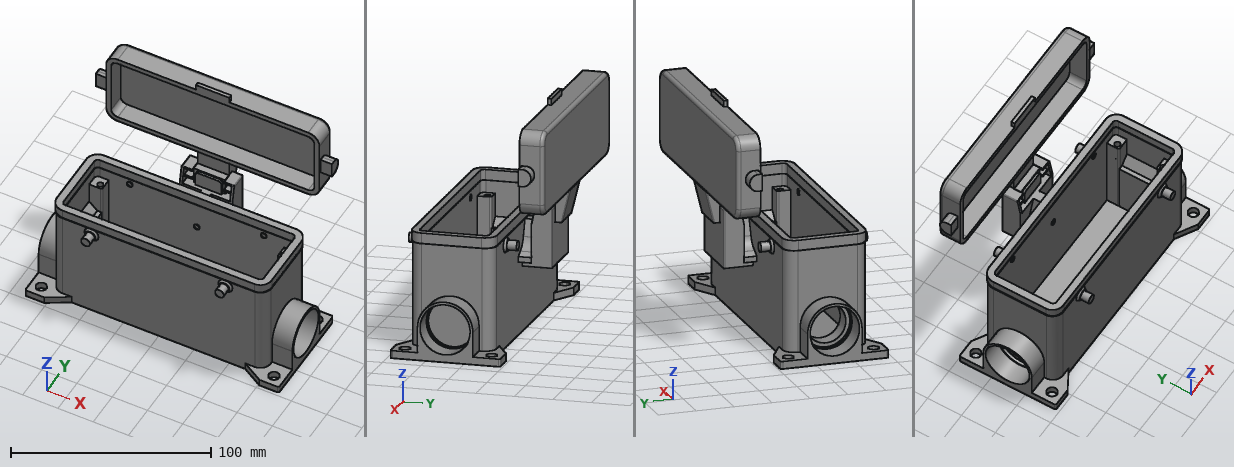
import cadquery as cq
import math


rim_length = 122.0
rim_width = 44.0
rim_radius = 6.5
rim_overhang_x = 0.5
rim_overhang_y = 0.35
housing_height = 63.0
rim_height = 5.5
body_length = rim_length - 2 * rim_overhang_x
body_width = rim_width - 2 * rim_overhang_y
body_radius = rim_radius - rim_overhang_x
rim_base = housing_height - rim_height

cavity_length = 113.5
cavity_width = 36.0
cavity_radius = 2.0
cavity_relief = 0.25
floor_thickness = 3.5

pillar_size = 7.0
pillar_top = 51.0
pillar_corner_radius = 1.0
screw_pitch_x = 104.0
screw_pitch_y = 27.0
screw_hole_diameter = 3.2
screw_hole_depth = 10.0
drill_point_angle = 118.0

foot_length = 144.0
foot_width = 57.0
foot_thickness = 4.0
foot_straight = 11.0
foot_reach = 22.8
foot_corner_radius = 1.0
foot_hole_diameter = 5.7
foot_hole_inset = 6.0

entry_center_z = 17.0
entry_outer_radius = 14.35
entry_bore_radius = 13.0
entry_bore_depth = 11.5
entry_step_radius = 12.5
entry_step_depth = 13.5
entry_hole_radius = 10.4
inner_block_top = 39.0
inner_block_ramp = 4.4

peg_x = 38.0
peg_z = 53.5
peg_diameter = 5.0
peg_tip_y = 28.0
peg_collar_diameter = 8.0
peg_collar_tip_diameter = 6.0
peg_collar_tip_y = 23.0
dimple_diameter = 3.2
dimple_depth = 0.5
center_dimple_z = 41.5

bracket_half_width = 15.0
bracket_front = 28.4
bracket_back = 39.2
bracket_bottom = 36.0
bracket_top = 67.2
bracket_top_front = 30.2
bracket_slope_base = 58.0
bracket_foot_front = 23.7
bracket_foot_thickness = 2.0
cheek_thickness = 1.5
back_wall_thickness = 2.0
cap_thickness = 1.2
cap_front = 30.4
bracket_edge_radius = 0.5
rib_z = 60.5
rib_thickness = 1.2

lug_half_width = 14.8
lug_edge_z = 40.8
lug_slope_x = 11.3
lug_slope_z = 42.8
lug_neck_x = 5.8
lug_neck_z = 48.9
lug_flare_sag = 1.0
lug_top_half_width = 2.8
lug_top_z = 57.2

lid_length = 121.0
lid_height = 43.5
lid_bottom = 75.8
lid_back = 47.75
lid_depth = 12.5
lid_radius = 6.5
lid_edge_radius = 2.0
lid_wall = 2.9
lid_floor = 2.5
lid_front = lid_back - lid_depth
lid_center_z = lid_bottom + lid_height / 2
tab_width = 19.0
tab_top = 122.5
tab_thickness = 2.0
lid_peg_tip_x = 67.0
lid_peg_radius = 4.4
lid_peg_axis_y = 38.7
lid_peg_flat_y = 36.5

arm_half_width = 9.0
arm_front = 36.0
arm_end_z = 58.5
arm_top_back = 46.8
arm_end_back = 42.5
knuckle_front = 32.0
knuckle_bottom = lug_top_z
knuckle_top = 66.8
knuckle_pad_half_width = 7.5
knuckle_pad_front = 30.6
knuckle_pad_top = 66.0
knuckle_pad_radius = 2.0
arm_edge_radius = 0.5


def block(x_range, y_range, z_range):
    """Axis-aligned box between the given (low, high) pairs."""
    size = [high - low for low, high in (x_range, y_range, z_range)]
    return (
        cq.Workplane("XY")
        .box(*size, centered=False)
        .translate((x_range[0], y_range[0], z_range[0]))
    )


def rounded_block(length, width, radius, z_low, z_high):
    """Upright block centred on the Z axis with rounded vertical edges."""
    return (
        cq.Workplane("XY", origin=(0, 0, z_low))
        .rect(length, width)
        .extrude(z_high - z_low)
        .edges("|Z")
        .fillet(radius)
    )


def cylinder_x(radius, x_start, x_end):
    """Cylinder along X on the cable entry axis."""
    return (
        cq.Workplane("YZ", origin=(x_start, 0, entry_center_z))
        .circle(radius)
        .extrude(x_end - x_start)
    )


def foot(side):
    """Mounting foot at one end, tapering towards the long walls; side is -1 or +1."""
    end = foot_length / 2
    half = foot_width / 2
    wall_y = body_width / 2
    outline = [
        (end - foot_reach, -wall_y),
        (end - foot_straight, -half),
        (end, -half),
        (end, half),
        (end - foot_straight, half),
        (end - foot_reach, wall_y),
    ]
    plate = cq.Workplane("XY").polyline(outline).close().extrude(foot_thickness)
    plate = plate.edges("|Z and >X").fillet(foot_corner_radius)
    hole_y = half - foot_hole_inset
    plate = (
        plate.faces(">Z")
        .workplane(origin=(0, 0, foot_thickness))
        .pushPoints([(end - foot_hole_inset, -hole_y), (end - foot_hole_inset, hole_y)])
        .hole(foot_hole_diameter)
    )
    return plate if side > 0 else plate.mirror("YZ")


def entry_boss(side):
    """Outer cable entry boss: a round top on a straight-sided base, flush with the foot end."""
    end = side * foot_length / 2
    start = side * (body_length / 2 - 1)
    x_range = (min(start, end), max(start, end))
    base = block(x_range, (-entry_outer_radius, entry_outer_radius), (0, entry_center_z))
    return base.union(cylinder_x(entry_outer_radius, start, end))


def inner_entry_block(side):
    """Block between the pillars behind a cable entry, with a ramp at the end wall."""
    wall_x = cavity_length / 2 + cavity_relief
    ramp_x = cavity_length / 2 - inner_block_ramp
    face_x = cavity_length / 2 - pillar_size
    ledge_z = inner_block_top - inner_block_ramp
    profile = [
        (side * wall_x, 0),
        (side * wall_x, inner_block_top),
        (side * ramp_x, ledge_z),
        (side * face_x, ledge_z),
        (side * face_x, 0),
    ]
    width = cavity_width - 2 * pillar_size
    return cq.Workplane("XZ", origin=(0, width / 2, 0)).polyline(profile).close().extrude(width)


def pillar(side_x, side_y):
    """Corner pillar with a blind screw hole, its free corner rounded."""
    wall_x = cavity_length / 2 + cavity_relief
    wall_y = cavity_width / 2 + cavity_relief
    post = block(
        (cavity_length / 2 - pillar_size, wall_x),
        (cavity_width / 2 - pillar_size, wall_y),
        (0, pillar_top),
    )
    post = post.edges("|Z and <X and <Y").fillet(pillar_corner_radius)
    hole = (
        cq.Workplane("XY", origin=(screw_pitch_x / 2, screw_pitch_y / 2, pillar_top))
        .circle(screw_hole_diameter / 2)
        .extrude(-screw_hole_depth)
    )
    tip = cq.Solid.makeCone(
        screw_hole_diameter / 2,
        0,
        screw_hole_diameter / 2 / math.tan(math.radians(drill_point_angle / 2)),
        cq.Vector(screw_pitch_x / 2, screw_pitch_y / 2, pillar_top - screw_hole_depth),
        cq.Vector(0, 0, -1),
    )
    post = post.cut(hole).cut(cq.Workplane(tip))
    if side_x < 0:
        post = post.mirror("YZ")
    if side_y < 0:
        post = post.mirror("XZ")
    return post


def peg(x, side):
    """Locking peg with a conical collar, standing out of the front (-1) or rear (+1) wall."""
    root_y = body_width / 2 - 1
    wall_y = body_width / 2
    profile = [
        (0, root_y),
        (peg_collar_diameter / 2, root_y),
        (peg_collar_diameter / 2, wall_y),
        (peg_collar_tip_diameter / 2, peg_collar_tip_y),
        (peg_diameter / 2, peg_collar_tip_y),
        (peg_diameter / 2, peg_tip_y),
        (0, peg_tip_y),
    ]
    pin = cq.Workplane("XY").polyline(profile).close().revolve(360, (0, 0, 0), (0, 1, 0))
    if side < 0:
        pin = pin.mirror("XZ")
    return pin.translate((x, 0, peg_z))


def dimple(x, z, side):
    """Cutter for a shallow round recess in the inner face of a long wall."""
    wall_y = cavity_width / 2 + cavity_relief
    spot = cq.Workplane("XZ").circle(dimple_diameter / 2).extrude(-(wall_y + dimple_depth))
    if side < 0:
        spot = spot.mirror("XZ")
    return spot.translate((x, 0, z))


def lug():
    """Central post flaring out to a wide base, joining the rear wall to the bracket."""
    base_z = bracket_bottom + bracket_foot_thickness
    start_y = body_width / 2 - 1
    return (
        cq.Workplane("XZ", origin=(0, start_y, 0))
        .moveTo(-lug_half_width, base_z)
        .lineTo(lug_half_width, base_z)
        .lineTo(lug_half_width, lug_edge_z)
        .lineTo(lug_slope_x, lug_slope_z)
        .sagittaArc((lug_neck_x, lug_neck_z), lug_flare_sag)
        .lineTo(lug_top_half_width, lug_top_z)
        .lineTo(-lug_top_half_width, lug_top_z)
        .lineTo(-lug_neck_x, lug_neck_z)
        .sagittaArc((-lug_slope_x, lug_slope_z), lug_flare_sag)
        .lineTo(-lug_half_width, lug_edge_z)
        .close()
        .extrude(-(bracket_front + 1 - start_y))
    )


def bracket():
    """Lid bracket: a block with a knuckle chamber open to the front and slotted for the lid arm."""
    profile = [
        (bracket_back, bracket_bottom),
        (bracket_back, bracket_top),
        (bracket_top_front, bracket_top),
        (bracket_front, bracket_slope_base),
        (bracket_front, bracket_bottom + bracket_foot_thickness),
        (bracket_foot_front, bracket_bottom + bracket_foot_thickness),
        (bracket_foot_front, bracket_bottom),
    ]
    width = 2 * bracket_half_width
    frame = (
        cq.Workplane("YZ", origin=(-bracket_half_width, 0, 0)).polyline(profile).close().extrude(width)
    )
    frame = frame.faces(">Y or >Z or <Z").edges().fillet(bracket_edge_radius)
    chamber_half = bracket_half_width - cheek_thickness
    chamber_x = (-chamber_half, chamber_half)
    chamber_back = bracket_back - back_wall_thickness
    chamber = block(
        chamber_x, (bracket_front, chamber_back), (knuckle_bottom, bracket_top - cap_thickness)
    )
    cap_clearance = block(chamber_x, (bracket_front, cap_front), (knuckle_bottom, bracket_top))
    arm_x = (-arm_half_width, arm_half_width)
    arm_slot = block(arm_x, (bracket_front, chamber_back), (knuckle_bottom, bracket_top))
    rear_slot = block(arm_x, (chamber_back, bracket_back), (arm_end_z, bracket_top))
    frame = frame.cut(chamber).cut(cap_clearance).cut(arm_slot).cut(rear_slot)
    for low_x, high_x in ((-chamber_half, -arm_half_width), (arm_half_width, chamber_half)):
        rib = block((low_x, high_x), (cap_front, chamber_back), (rib_z, rib_z + rib_thickness))
        frame = frame.union(rib)
    return frame


def housing_body():
    shell = rounded_block(body_length, body_width, body_radius, 0, rim_base)
    shell = shell.union(rounded_block(rim_length, rim_width, rim_radius, rim_base, housing_height))
    for side in (-1, 1):
        shell = shell.union(foot(side)).union(entry_boss(side))
    shell = shell.cut(
        rounded_block(cavity_length, cavity_width, cavity_radius, floor_thickness, housing_height)
    )
    shell = shell.cut(
        rounded_block(
            cavity_length + 2 * cavity_relief,
            cavity_width + 2 * cavity_relief,
            cavity_radius + cavity_relief,
            floor_thickness,
            rim_base,
        )
    )
    for side_x in (-1, 1):
        shell = shell.union(inner_entry_block(side_x))
        for side_y in (-1, 1):
            shell = shell.union(pillar(side_x, side_y))

    for side in (-1, 1):
        end = side * foot_length / 2
        shell = shell.cut(cylinder_x(entry_bore_radius, end, end - side * entry_bore_depth))
        shell = shell.cut(cylinder_x(entry_step_radius, end, end - side * entry_step_depth))
    shell = shell.cut(cylinder_x(entry_hole_radius, -foot_length / 2, 0))

    for side in (-1, 1):
        for x in (-peg_x, peg_x):
            shell = shell.union(peg(x, side)).cut(dimple(x, peg_z, side))
    shell = shell.union(lug()).union(bracket())
    return shell.cut(dimple(0, center_dimple_z, 1))


def lid_shell():
    """Shallow tray with its open side facing the front."""
    tray = (
        cq.Workplane("XZ", origin=(0, lid_back, lid_center_z))
        .rect(lid_length, lid_height)
        .extrude(lid_depth)
        .edges("|Y")
        .fillet(lid_radius)
        .faces(">Y")
        .edges()
        .fillet(lid_edge_radius)
    )
    recess = (
        cq.Workplane("XZ", origin=(0, lid_back - lid_floor, lid_center_z))
        .rect(lid_length - 2 * lid_wall, lid_height - 2 * lid_wall)
        .extrude(lid_depth - lid_floor)
        .edges("|Y")
        .fillet(lid_radius - lid_wall)
    )
    return tray.cut(recess)


def lid_peg(side):
    """Side peg of the lid: half-round at the back, square at the front."""
    root_x = lid_length / 2 - lid_wall / 2
    return (
        cq.Workplane("YZ", origin=(side * root_x, 0, lid_center_z))
        .moveTo(lid_peg_flat_y, -lid_peg_radius)
        .lineTo(lid_peg_axis_y, -lid_peg_radius)
        .threePointArc((lid_peg_axis_y + lid_peg_radius, 0), (lid_peg_axis_y, lid_peg_radius))
        .lineTo(lid_peg_flat_y, lid_peg_radius)
        .close()
        .extrude(side * (lid_peg_tip_x - root_x))
    )


def lid_arm():
    """Tapered arm under the lid, ending in a knuckle that sits in the bracket chamber."""
    chamber_back = bracket_back - back_wall_thickness
    root_z = lid_bottom + lid_wall / 2
    profile = [
        (arm_front, root_z),
        (arm_top_back - lid_edge_radius, root_z),
        (arm_top_back, lid_bottom),
        (arm_end_back, arm_end_z),
        (arm_front, arm_end_z),
    ]
    width = 2 * arm_half_width
    rear_slope_middle = (0, (arm_top_back + arm_end_back) / 2, (lid_bottom + arm_end_z) / 2)
    arm = cq.Workplane("YZ", origin=(-arm_half_width, 0, 0)).polyline(profile).close().extrude(width)
    arm = arm.faces(cq.NearestToPointSelector(rear_slope_middle)).edges("not >Z").fillet(arm_edge_radius)
    knuckle = block(
        (-arm_half_width, arm_half_width),
        (knuckle_front, chamber_back),
        (knuckle_bottom, knuckle_top),
    )
    pad = block(
        (-knuckle_pad_half_width, knuckle_pad_half_width),
        (knuckle_pad_front, knuckle_front),
        (knuckle_bottom, knuckle_pad_top),
    )
    pad = pad.edges("|Y and >Z").fillet(knuckle_pad_radius)
    return arm.union(knuckle).union(pad)


def lid_body():
    tab = block(
        (-tab_width / 2, tab_width / 2),
        (lid_front, lid_front + tab_thickness),
        (lid_bottom + lid_height - lid_wall / 2, tab_top),
    )
    lid = lid_shell().union(tab).union(lid_arm())
    for side in (-1, 1):
        lid = lid.union(lid_peg(side))
    return lid


housing = housing_body()
lid = lid_body()

result = cq.Compound.makeCompound([housing.val(), lid.val()])